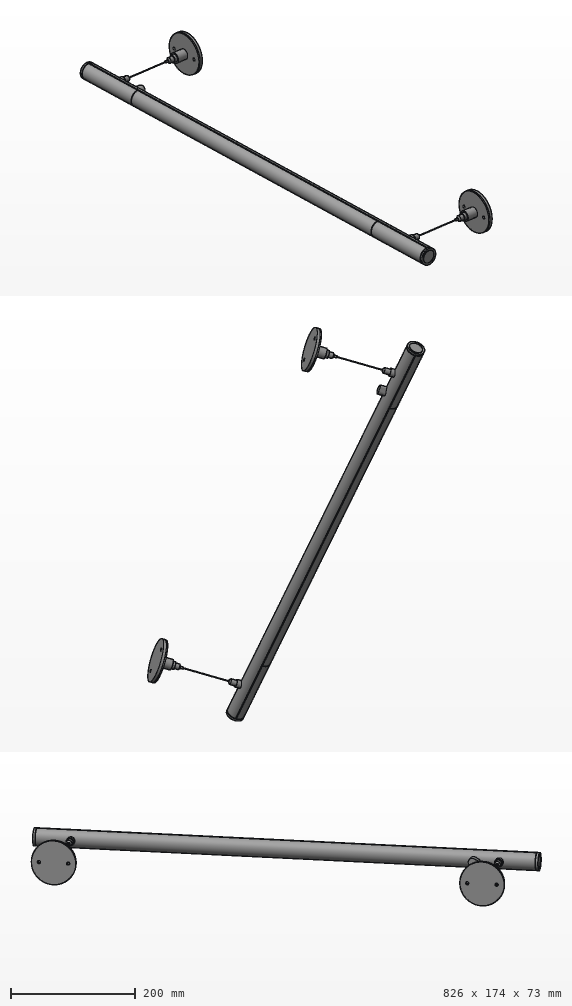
import cadquery as cq
import math

LAMP_LENGTH = 826
DEPTH = 174.0

TUBE_DIAMETER = 30.0
TUBE_RADIUS = TUBE_DIAMETER / 2
CAP_THICKNESS = 4.0
CAP_RECESS_DIAMETER = 22.0
CAP_RECESS_DEPTH = 1.0

JOINT_DEPTH = 0.4
RING_JOINT_WIDTH = 1.0
SIDE_JOINT_WIDTH = 2.0
DIFFUSER_JOINT_X = 290.0

INLET_DIAMETER = 13.0
INLET_TIP_DIAMETER = 7.0
INLET_X = -308.0
INLET_TIP_X = -315.5
INLET_HEIGHT = 11.0

WALL_Y = DEPTH - TUBE_RADIUS
SUSPENSION_X = 350.0
PLATE_DIAMETER = 73.0
PLATE_THICKNESS = 7.5
PLATE_FRONT_DIAMETER = 72.0
PLATE_STEP_END = 5.0
SCREW_HOLE_DIAMETER = 5.0
SCREW_HOLE_OFFSET = 24.0
BARREL_DIAMETER = 18.0
BARREL_END = 27.0
COLLAR_DIAMETER = 13.0
COLLAR_END = 32.0
GRIP_DIAMETER = 10.0
GRIP_END = 42.0
GRIP_CHAMFER = 2.5
NOZZLE_DIAMETER = 4.0
NOZZLE_END = 47.0
CORD_DIAMETER = 1.5
FERRULE_START = 125.5
FOOT_DIAMETER = 13.0
FOOT_START = 138.0


def cylinder_along_x(diameter, start, end):
    """Cylinder around the X axis between two X positions."""
    return cq.Workplane("YZ", origin=(start, 0, 0)).circle(diameter / 2).extrude(end - start)


def rod_section(diameter, start, end):
    """Cylinder around the Y axis between two distances from the wall."""
    return cq.Workplane("XZ", origin=(0, WALL_Y - start, 0)).circle(diameter / 2).extrude(end - start)


def ring_joint(x):
    """Cutter for a joint groove around the tube, centred at x."""
    start = x - RING_JOINT_WIDTH / 2
    end = x + RING_JOINT_WIDTH / 2
    core = cylinder_along_x(TUBE_DIAMETER - 2 * JOINT_DEPTH, start, end)
    return cylinder_along_x(TUBE_DIAMETER + 2 * JOINT_DEPTH, start, end).cut(core)


def make_inlet():
    """Teardrop outline: two arcs joined by their common tangents, extruded along Y."""
    big_radius = INLET_DIAMETER / 2
    tip_radius = INLET_TIP_DIAMETER / 2
    taper = math.asin((big_radius - tip_radius) / (INLET_X - INLET_TIP_X))
    big_tangent_x = INLET_X - big_radius * math.sin(taper)
    big_tangent_z = big_radius * math.cos(taper)
    tip_tangent_x = INLET_TIP_X - tip_radius * math.sin(taper)
    tip_tangent_z = tip_radius * math.cos(taper)
    back_y = TUBE_RADIUS + INLET_HEIGHT
    return (
        cq.Workplane("XZ", origin=(0, back_y, 0))
        .moveTo(tip_tangent_x, tip_tangent_z)
        .lineTo(big_tangent_x, big_tangent_z)
        .threePointArc((INLET_X + big_radius, 0), (big_tangent_x, -big_tangent_z))
        .lineTo(tip_tangent_x, -tip_tangent_z)
        .threePointArc((INLET_TIP_X - tip_radius, 0), (tip_tangent_x, tip_tangent_z))
        .close()
        .extrude(back_y)
    )


def make_lamp():
    half_length = LAMP_LENGTH / 2
    cap_joint_x = half_length - CAP_THICKNESS
    front_half = cq.Workplane("XY").box(LAMP_LENGTH, DEPTH, DEPTH).translate((0, -DEPTH / 2, 0))
    side_joint = cq.Workplane("XY").box(2 * cap_joint_x, SIDE_JOINT_WIDTH, 2 * JOINT_DEPTH)

    lamp = cylinder_along_x(TUBE_DIAMETER, -half_length, half_length)
    for side in (-1, 1):
        recess_floor = side * (half_length - CAP_RECESS_DEPTH)
        lamp = lamp.cut(cylinder_along_x(CAP_RECESS_DIAMETER, recess_floor, side * half_length))
        lamp = lamp.cut(ring_joint(side * cap_joint_x))
        lamp = lamp.cut(ring_joint(side * DIFFUSER_JOINT_X).intersect(front_half))
        lamp = lamp.cut(side_joint.translate((0, 0, side * TUBE_RADIUS)))
    return lamp.union(make_inlet())


def make_plate():
    """Stepped round wall plate with two screw holes."""
    plate = rod_section(PLATE_DIAMETER, 0, PLATE_STEP_END)
    plate = plate.union(rod_section(PLATE_FRONT_DIAMETER, PLATE_STEP_END, PLATE_THICKNESS))
    hole = rod_section(SCREW_HOLE_DIAMETER, 0, PLATE_THICKNESS)
    for side in (-1, 1):
        plate = plate.cut(hole.translate((side * SCREW_HOLE_OFFSET, 0, 0)))
    return plate


def make_suspension(x):
    """Wall plate, cord grip, cord and foot as one piece, seated on the tube."""
    grip = rod_section(GRIP_DIAMETER, COLLAR_END, GRIP_END).faces("<Y").chamfer(GRIP_CHAMFER)
    ferrule = rod_section(GRIP_DIAMETER, FERRULE_START, FOOT_START).faces(">Y").chamfer(GRIP_CHAMFER)
    suspension = (
        make_plate()
        .union(rod_section(BARREL_DIAMETER, PLATE_THICKNESS, BARREL_END))
        .union(rod_section(COLLAR_DIAMETER, BARREL_END, COLLAR_END))
        .union(grip)
        .union(rod_section(NOZZLE_DIAMETER, GRIP_END, NOZZLE_END))
        .union(rod_section(CORD_DIAMETER, NOZZLE_END, FERRULE_START))
        .union(ferrule)
        .union(rod_section(FOOT_DIAMETER, FOOT_START, WALL_Y))
    )
    tube_seat = cylinder_along_x(TUBE_DIAMETER, -LAMP_LENGTH / 2, LAMP_LENGTH / 2)
    return suspension.cut(tube_seat).translate((x, 0, 0))


lamp = make_lamp()
suspensions = [make_suspension(side * SUSPENSION_X) for side in (-1, 1)]

bodies = [lamp, *suspensions]
result = cq.Compound.makeCompound([body.solids().val() for body in bodies])